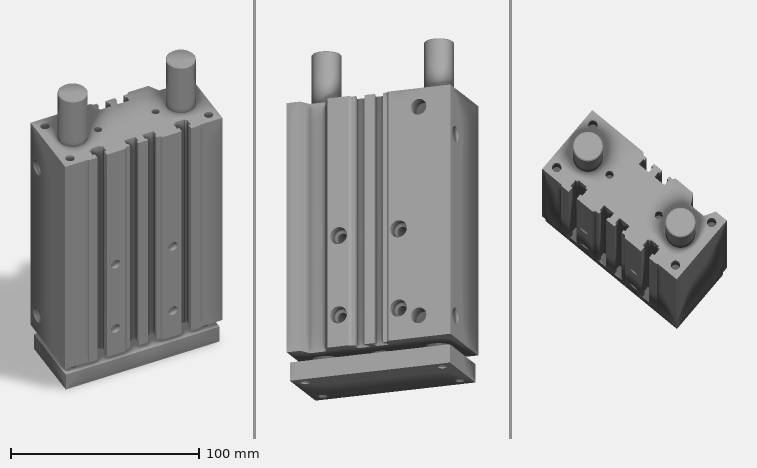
import cadquery as cq


TOTAL_HEIGHT = 185.0
SIDES = (-1, 1)

PLATE_X = 38.1
PLATE_Y = 91.0
PLATE_HEIGHT = 10.2
PLATE_HOLE_DIAMETER = 5.0
PLATE_HOLE_X = 13.1
PLATE_HOLE_Y = 39.0
GUIDE_ROD_DIAMETER = 16.0
GUIDE_ROD_Y = 32.0
GUIDE_ROD_CHAMFER = 0.5
PISTON_ROD_DIAMETER = 12.0

HOUSING_X = 42.0
HOUSING_Y = 93.0
HOUSING_HEIGHT = 138.5
PLATE_GAP = 5.2
HOUSING_BOTTOM = PLATE_HEIGHT + PLATE_GAP
HOUSING_TOP = HOUSING_BOTTOM + HOUSING_HEIGHT
FACE_X = HOUSING_X / 2

MARGIN_DEPTH = 0.5
RAISED_HALF_WIDTH = 33.0

RECESS_DEPTH = 1.3
RECESS_MOUTH_HALF_WIDTH = 11.3
RECESS_FLOOR_HALF_WIDTH = 10.0

SENSOR_SLOT_Y = 5.4
SENSOR_NECK_WIDTH = 5.0
SENSOR_HEAD_WIDTH = 6.8
SENSOR_HEAD_X = 18.0
SENSOR_FLOOR_X = 14.5

MOUNT_SLOT_Y = 25.0
MOUNT_NECK_WIDTH = 5.5
MOUNT_HEAD_WIDTH = 8.1
MOUNT_HEAD_X = 18.0
MOUNT_FLOOR_X = 13.7
RELIEF_WIDTH = 5.5
RELIEF_FLOOR_X = 12.8

GROOVE_Y = 31.0
GROOVE_DEPTH = 6.0
GROOVE_MOUTH_WIDTH = 15.7
GROOVE_FLOOR_WIDTH = 8.9

CORNER_HOLE_DIAMETER = 5.0
CORNER_HOLE_X = 15.0
CORNER_HOLE_Y = 41.0
CENTRE_HOLE_DIAMETER = 4.3
TOP_HOLE_DEPTH = 12.0

MOUNT_HOLE_DIAMETER = 5.5
MOUNT_BORE_DIAMETER = 9.5
MOUNT_BORE_DEPTH = 5.5
MOUNT_HOLE_Y = 17.0
MOUNT_HOLE_HEIGHTS = (33.0, 77.0)

PORT_DIAMETER = 8.7
PORT_DEPTH = 8.0
SIDE_PORT_Y = -28.5
SIDE_PORT_HEIGHTS = (27.5, 143.5)
END_PORT_X = -13.5
END_PORT_HEIGHTS = (27.5, 128.5)


def box_between(x_start, x_end, y_centre, width):
    """A full-height housing cutter between two X positions, centred on y_centre."""
    return cq.Workplane("XY").box(
        abs(x_end - x_start), width, HOUSING_HEIGHT, centered=(True, True, False)
    ).translate(((x_start + x_end) / 2, y_centre, HOUSING_BOTTOM))


def tapered_cutter(x_face, x_floor, y_centre, mouth_width, floor_width):
    """A full-height trapezoidal cutter, mouth_width wide at x_face and floor_width at x_floor."""
    return (
        cq.Workplane("XY", origin=(0, y_centre, HOUSING_BOTTOM))
        .moveTo(x_face, -mouth_width / 2)
        .lineTo(x_floor, -floor_width / 2)
        .lineTo(x_floor, floor_width / 2)
        .lineTo(x_face, mouth_width / 2)
        .close()
        .extrude(HOUSING_HEIGHT)
    )


def cylinder(diameter, length, start, direction):
    """A cylinder whose flat end is centred on start and which runs along direction."""
    solid = cq.Solid.makeCylinder(diameter / 2, length, cq.Vector(*start), cq.Vector(*direction))
    return cq.Workplane(solid)


def cut_profile(body):
    """Cut the margins, recesses, slots and groove that run the full height of the housing."""
    margin_width = HOUSING_Y / 2 - RAISED_HALF_WIDTH
    for side in SIDES:
        margin_y = side * (RAISED_HALF_WIDTH + margin_width / 2)
        body = body.cut(box_between(FACE_X - MARGIN_DEPTH, FACE_X, margin_y, margin_width))

        body = body.cut(tapered_cutter(
            side * FACE_X, side * (FACE_X - RECESS_DEPTH), 0,
            2 * RECESS_MOUTH_HALF_WIDTH, 2 * RECESS_FLOOR_HALF_WIDTH,
        ))
        for slot_side in SIDES:
            slot_y = slot_side * SENSOR_SLOT_Y
            body = body.cut(box_between(side * SENSOR_HEAD_X, side * FACE_X, slot_y, SENSOR_NECK_WIDTH))
            body = body.cut(
                box_between(side * SENSOR_FLOOR_X, side * SENSOR_HEAD_X, slot_y, SENSOR_HEAD_WIDTH)
            )

        mount_y = side * MOUNT_SLOT_Y
        body = body.cut(box_between(MOUNT_HEAD_X, FACE_X, mount_y, MOUNT_NECK_WIDTH))
        body = body.cut(box_between(MOUNT_FLOOR_X, MOUNT_HEAD_X, mount_y, MOUNT_HEAD_WIDTH))
        body = body.cut(box_between(RELIEF_FLOOR_X, MOUNT_FLOOR_X, mount_y, RELIEF_WIDTH))

    return body.cut(tapered_cutter(
        -FACE_X, GROOVE_DEPTH - FACE_X, GROOVE_Y, GROOVE_MOUTH_WIDTH, GROOVE_FLOOR_WIDTH
    ))


def cut_vertical_holes(body):
    """Cut the guide rod bores and the blind holes in the top face."""
    down = (0, 0, -1)
    for side_y in SIDES:
        guide_start = (0, side_y * GUIDE_ROD_Y, HOUSING_TOP)
        body = body.cut(cylinder(GUIDE_ROD_DIAMETER, HOUSING_HEIGHT, guide_start, down))

        centre_start = (0, side_y * MOUNT_HOLE_Y, HOUSING_TOP)
        body = body.cut(cylinder(CENTRE_HOLE_DIAMETER, TOP_HOLE_DEPTH, centre_start, down))

        for side_x in SIDES:
            corner_start = (side_x * CORNER_HOLE_X, side_y * CORNER_HOLE_Y, HOUSING_TOP)
            body = body.cut(cylinder(CORNER_HOLE_DIAMETER, TOP_HOLE_DEPTH, corner_start, down))
    return body


def cut_mounting_holes(body):
    """Cut the through holes along X, counterbored from the -X face."""
    for hole_z in MOUNT_HOLE_HEIGHTS:
        for side in SIDES:
            start = (-FACE_X, side * MOUNT_HOLE_Y, hole_z)
            body = body.cut(cylinder(MOUNT_HOLE_DIAMETER, HOUSING_X, start, (1, 0, 0)))
            body = body.cut(cylinder(MOUNT_BORE_DIAMETER, MOUNT_BORE_DEPTH, start, (1, 0, 0)))
    return body


def cut_ports(body):
    """Cut the blind air ports in the -X and -Y faces."""
    for port_z in SIDE_PORT_HEIGHTS:
        start = (-FACE_X, SIDE_PORT_Y, port_z)
        body = body.cut(cylinder(PORT_DIAMETER, PORT_DEPTH, start, (1, 0, 0)))
    for port_z in END_PORT_HEIGHTS:
        start = (END_PORT_X, -HOUSING_Y / 2, port_z)
        body = body.cut(cylinder(PORT_DIAMETER, PORT_DEPTH, start, (0, 1, 0)))
    return body


def make_housing():
    """The housing block with its profile grooves, holes and ports."""
    body = box_between(-FACE_X, FACE_X, 0, HOUSING_Y)
    body = cut_profile(body)
    body = cut_vertical_holes(body)
    body = cut_mounting_holes(body)
    return cut_ports(body)


def make_carriage():
    """The end plate with its corner holes, the piston rod up to the housing, and the guide rods."""
    plate = cq.Workplane("XY").box(PLATE_X, PLATE_Y, PLATE_HEIGHT, centered=(True, True, False))
    plate = (
        plate.faces(">Z").workplane()
        .rect(2 * PLATE_HOLE_X, 2 * PLATE_HOLE_Y, forConstruction=True)
        .vertices()
        .hole(PLATE_HOLE_DIAMETER)
    )
    up = (0, 0, 1)
    carriage = plate.union(cylinder(PISTON_ROD_DIAMETER, PLATE_GAP, (0, 0, PLATE_HEIGHT), up))
    for side in SIDES:
        start = (0, side * GUIDE_ROD_Y, PLATE_HEIGHT)
        rod = cylinder(GUIDE_ROD_DIAMETER, TOTAL_HEIGHT - PLATE_HEIGHT, start, up)
        carriage = carriage.union(rod.faces(">Z").chamfer(GUIDE_ROD_CHAMFER))
    return carriage


housing = make_housing()
carriage = make_carriage()

result = cq.Compound.makeCompound([housing.val(), carriage.val()])